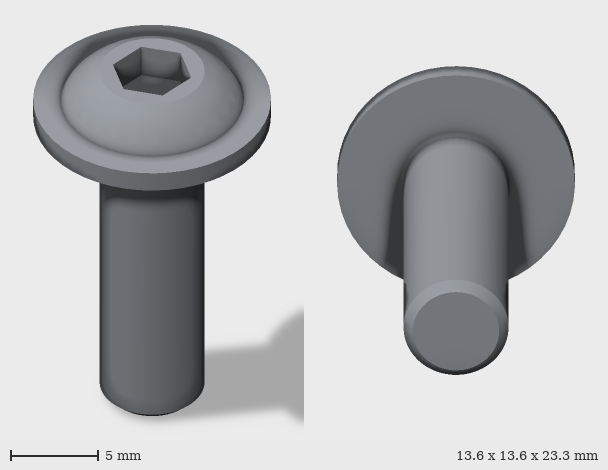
import cadquery as cq
import math

total_length = 23.3
flange_diameter = 13.6
flange_thickness = 1.25
head_height = 3.3
dome_base_diameter = 10.5
dome_top_diameter = 6.0
dome_bulge = 0.23
shank_diameter = 6.0
tip_chamfer = 0.54
neck_fillet = 0.23
socket_across_flats = 4.0
socket_depth = 2.07

flange_bottom = total_length - head_height
flange_top = flange_bottom + flange_thickness


def make_shank():
    shank = cq.Workplane("XY").circle(shank_diameter / 2).extrude(flange_bottom)
    return shank.faces("<Z").chamfer(tip_chamfer)


def make_flange():
    flange = cq.Workplane("XY").workplane(offset=flange_bottom)
    return flange.circle(flange_diameter / 2).extrude(flange_thickness)


def make_dome():
    """Revolve a half profile whose sloping side is a shallow outward arc."""
    base_radius = dome_base_diameter / 2
    top_radius = dome_top_diameter / 2
    return (
        cq.Workplane("XZ")
        .moveTo(0, flange_top)
        .lineTo(base_radius, flange_top)
        .sagittaArc((top_radius, total_length), -dome_bulge)
        .lineTo(0, total_length)
        .close()
        .revolve(360, (0, 0, 0), (0, 1, 0))
    )


def make_socket():
    """Hexagonal key socket with two corners on the X axis."""
    across_corners = socket_across_flats / math.cos(math.pi / 6)
    socket = cq.Workplane("XY").workplane(offset=total_length - socket_depth)
    return socket.polygon(6, across_corners).extrude(socket_depth)


def under_head_edge(body):
    """Circle where the shank meets the underside of the flange."""
    reach = shank_diameter / 2 + neck_fillet
    margin = neck_fillet / 2
    corner_low = (-reach, -reach, flange_bottom - margin)
    corner_high = (reach, reach, flange_bottom + margin)
    return body.edges(cq.selectors.BoxSelector(corner_low, corner_high, boundingbox=True))


body = make_shank().union(make_flange()).union(make_dome())
body = under_head_edge(body).fillet(neck_fillet)
result = body.cut(make_socket())